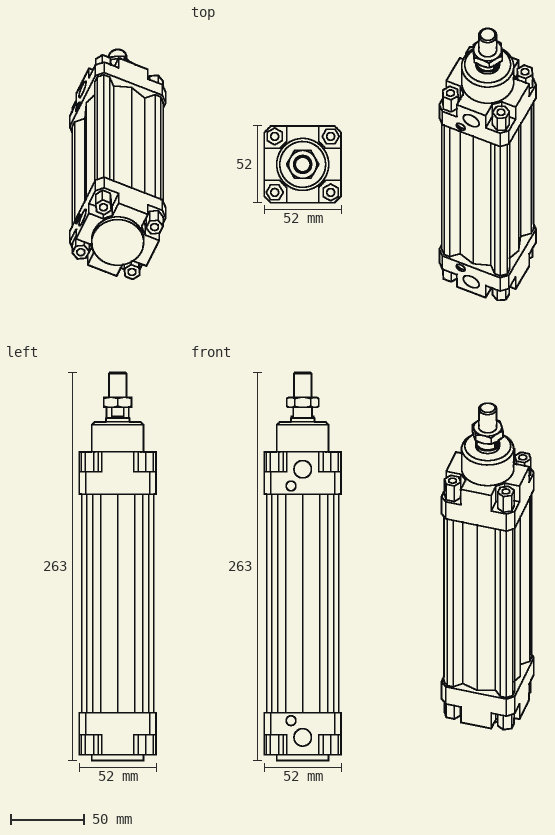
import cadquery as cq
import math


total_height = 263.0
spigot_height = 4.0
body_length = 205.1
cap_height = 28.7
pocket_depth = 13.7
collar_height = 20.3
rod_shoulder_height = 30.0
nut_height = 6.8
body_bottom = spigot_height
body_top = body_bottom + body_length
body_middle = (body_bottom + body_top) / 2
cap_bottom = body_top - cap_height
collar_top = body_top + collar_height
rod_shoulder = body_top + rod_shoulder_height

cap_width = 52.0
cap_chamfer = 4.5
arm_width = 21.5
pocket_wall_distance = 18.7
collar_diameter = 35.2
collar_chamfer = 2.0

port_diameter = 11.8
port_depth = 13.2
port_drop = 11.8
valve_hole_diameter = 6.5
valve_hole_depth = 1.5
valve_hole_drop = 23.1
valve_hole_x = -8.0

screw_offset = 19.0
screw_width = 10.0
screw_hole_diameter = 5.3
screw_hole_depth = 10.5
drill_point_angle = 118.0

tube_half_width = 24.5
tube_corner = 21.0
tube_post_edge = 16.8
tube_groove_depth = 5.3
tube_ridge = 23.1
tube_valley_x = tube_post_edge - tube_groove_depth
tube_valley_y = tube_half_width - tube_groove_depth

rod_diameter = 16.0
rod_foot_height = 2.4
neck_diameter = 15.3
neck_cone_height = 0.5
flat_clearance = 1.3
wrench_flat_width = 13.0
thread_diameter = 12.0
thread_chamfer = 1.0
nut_width = 19.0
nut_chamfer_angle = 30.0


def hexagon_corners(width_across_flats):
    """Diameter over the corners of a hexagon."""
    return width_across_flats / math.cos(math.radians(30))


def make_tube():
    """Extruded tube with corner posts and a shallow ridge along each side."""
    side = [
        (-tube_corner, -tube_half_width),
        (-tube_post_edge, -tube_half_width),
        (-tube_valley_x, -tube_valley_y),
        (0, -tube_ridge),
        (tube_valley_x, -tube_valley_y),
        (tube_post_edge, -tube_half_width),
        (tube_corner, -tube_half_width),
    ]
    outline = []
    for quarter in range(4):
        angle = math.radians(90 * quarter)
        for x, y in side:
            outline.append((
                x * math.cos(angle) - y * math.sin(angle),
                x * math.sin(angle) + y * math.cos(angle),
            ))
    tube_length = body_length - 2 * cap_height
    return cq.Workplane("XY").workplane(offset=cap_bottom).polyline(outline).close().extrude(-tube_length)


def make_pocket():
    """Cutter for the pocket in the +X +Y corner of the front cap."""
    near = arm_width / 2
    far = cap_width
    wall_end = pocket_wall_distance * math.sqrt(2) - near
    return (
        cq.Workplane("XY")
        .workplane(offset=body_top - pocket_depth)
        .polyline([(near, wall_end), (wall_end, near), (far, near), (far, far), (near, far)])
        .close()
        .extrude(pocket_depth)
    )


def make_screw():
    """Hexagonal screw head in the +X +Y corner, corners pointing along X."""
    return (
        cq.Workplane("XY")
        .workplane(offset=body_top - pocket_depth)
        .center(screw_offset, screw_offset)
        .polygon(6, hexagon_corners(screw_width))
        .extrude(pocket_depth)
    )


def make_screw_hole():
    """Drilled hole with a conical end, in the screw of the +X +Y corner."""
    radius = screw_hole_diameter / 2
    tip_depth = screw_hole_depth + radius / math.tan(math.radians(drill_point_angle / 2))
    return (
        cq.Workplane("XZ")
        .polyline([(0, 0), (radius, 0), (radius, -screw_hole_depth), (0, -tip_depth)])
        .close()
        .revolve(360, (0, 0, 0), (0, 1, 0))
        .translate((screw_offset, screw_offset, body_top))
    )


def make_front_hole(x, drop, diameter, depth):
    """Cutter for a blind hole in the front face of the front cap."""
    return (
        cq.Workplane("XZ", origin=(x, -cap_width / 2, body_top - drop))
        .circle(diameter / 2)
        .extrude(-depth)
    )


def make_cap():
    """Front end cap with its corner screws, ports and pockets."""
    cap = (
        cq.Workplane("XY")
        .workplane(offset=cap_bottom)
        .rect(cap_width, cap_width)
        .extrude(cap_height)
        .edges("|Z")
        .chamfer(cap_chamfer)
    )
    for quarter in range(4):
        turn = ((0, 0, 0), (0, 0, 1), 90 * quarter)
        cap = cap.cut(make_pocket().rotate(*turn))
        cap = cap.union(make_screw().rotate(*turn))
        cap = cap.cut(make_screw_hole().rotate(*turn))
    cap = cap.cut(make_front_hole(0, port_drop, port_diameter, port_depth))
    return cap.cut(make_front_hole(valve_hole_x, valve_hole_drop, valve_hole_diameter, valve_hole_depth))


def make_housing():
    """Tube, both end caps, the front collar and the rear spigot."""
    front_cap = make_cap()
    rear_cap = front_cap.mirror("XY", (0, 0, body_middle))
    collar = (
        cq.Workplane("XY")
        .workplane(offset=body_top)
        .circle(collar_diameter / 2)
        .extrude(collar_height)
        .faces(">Z")
        .chamfer(collar_chamfer)
    )
    spigot = cq.Workplane("XY").circle(collar_diameter / 2).extrude(spigot_height)
    return make_tube().union(front_cap).union(rear_cap).union(collar).union(spigot)


def make_rod():
    """Piston rod standing on the collar: round foot, flatted neck, threaded end."""
    foot_radius = rod_diameter / 2
    neck_radius = neck_diameter / 2
    thread_radius = thread_diameter / 2
    foot_top = collar_top + rod_foot_height
    rod = (
        cq.Workplane("XZ")
        .polyline([
            (0, collar_top),
            (foot_radius, collar_top),
            (foot_radius, foot_top),
            (neck_radius, foot_top + neck_cone_height),
            (neck_radius, rod_shoulder),
            (thread_radius, rod_shoulder),
            (thread_radius, total_height - thread_chamfer),
            (thread_radius - thread_chamfer, total_height),
            (0, total_height),
        ])
        .close()
        .revolve(360, (0, 0, 0), (0, 1, 0))
    )
    flat_bottom = foot_top + flat_clearance
    for side in (-1, 1):
        flat_cutter = (
            cq.Workplane("XY")
            .workplane(offset=flat_bottom)
            .center(side * (wrench_flat_width + rod_diameter) / 2, 0)
            .rect(rod_diameter, rod_diameter)
            .extrude(rod_shoulder - flat_bottom)
        )
        rod = rod.cut(flat_cutter)
    return rod


def make_nut():
    """Hexagon nut on the rod shoulder, corners chamfered at both ends."""
    corner_radius = hexagon_corners(nut_width) / 2
    face_radius = nut_width / 2
    chamfer_height = (corner_radius - face_radius) * math.tan(math.radians(nut_chamfer_angle))
    chamfer_envelope = (
        cq.Workplane("XZ")
        .polyline([
            (0, 0),
            (face_radius, 0),
            (corner_radius, chamfer_height),
            (corner_radius, nut_height - chamfer_height),
            (face_radius, nut_height),
            (0, nut_height),
        ])
        .close()
        .revolve(360, (0, 0, 0), (0, 1, 0))
    )
    return (
        cq.Workplane("XY")
        .polygon(6, 2 * corner_radius)
        .extrude(nut_height)
        .intersect(chamfer_envelope)
        .cut(cq.Workplane("XY").circle(thread_diameter / 2).extrude(nut_height))
        .translate((0, 0, rod_shoulder))
    )


housing = make_housing()
rod = make_rod()
nut = make_nut()

result = cq.Compound.makeCompound([housing.val(), rod.val(), nut.val()])